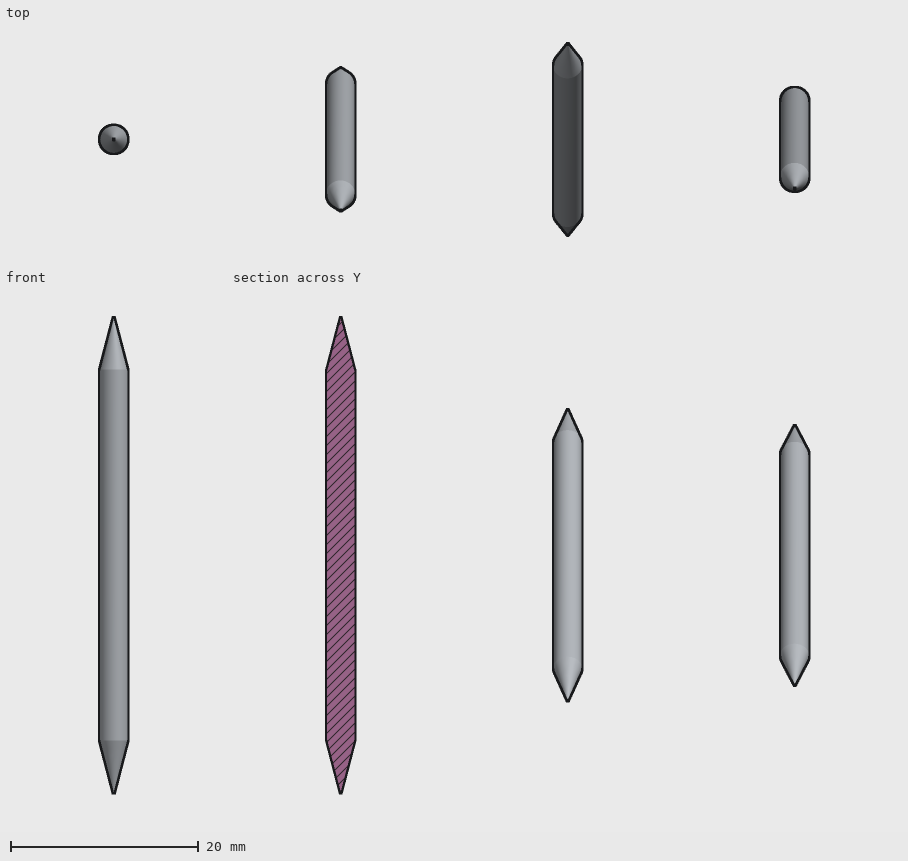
import cadquery as cq

pin_length = 50.8
pin_diameter = 3.15
point_length = 5.65
tip_diameter = 0.2

half_length = pin_length / 2
shoulder_height = half_length - point_length
pin_radius = pin_diameter / 2
tip_radius = tip_diameter / 2

half_profile = (
    cq.Workplane("XZ")
    .moveTo(0, -half_length)
    .lineTo(tip_radius, -half_length)
    .lineTo(pin_radius, -shoulder_height)
    .lineTo(pin_radius, shoulder_height)
    .lineTo(tip_radius, half_length)
    .lineTo(0, half_length)
    .close()
)

result = half_profile.revolve(360, (0, 0, 0), (0, 1, 0))